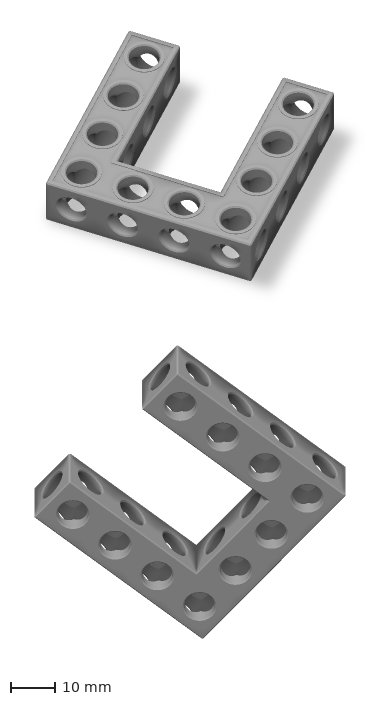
import cadquery as cq

pitch = 12.5
holes_per_side = 4
hole_diameter = 7.0
hole_chamfer = 0.3
ring_diameter = 9.2
edge_chamfer = 0.3
rim_width = 1.2
recess_depth = 0.2

length = pitch * holes_per_side
opening_width = length - 2 * pitch
height = pitch
centers = [pitch * (i + 0.5) for i in range(holes_per_side)]
mid_height = height / 2
last = holes_per_side - 1
along_x = (1, 0, 0)
along_y = (0, 1, 0)
along_z = (0, 0, 1)


def u_prism(inset, bottom, thickness):
    """U-shaped prism open toward +Y, with its outline moved inward by inset."""
    outer_size = length - 2 * inset
    gap_width = opening_width + 2 * inset
    block = cq.Workplane("XY").box(outer_size, outer_size, thickness, centered=False)
    block = block.translate((inset, inset, bottom))
    gap = cq.Workplane("XY").box(gap_width, length, thickness, centered=False)
    return block.cut(gap.translate((pitch - inset, pitch - inset, bottom)))


def rod(start, direction, span, diameter):
    """Cylinder of the given length that starts at a point."""
    return cq.Solid.makeCylinder(diameter / 2, span, cq.Vector(*start), cq.Vector(*direction))


def entry_cone(point, inward):
    """Cone that chamfers a hole where it enters a face."""
    radius = hole_diameter / 2
    return cq.Solid.makeCone(
        radius + hole_chamfer, radius, hole_chamfer, cq.Vector(*point), cq.Vector(*inward)
    )


def passage(start, direction, span):
    """Cutters for a round hole with a chamfer at both ends."""
    end = tuple(s + d * span for s, d in zip(start, direction))
    back = tuple(-d for d in direction)
    return [
        rod(start, direction, span, hole_diameter),
        entry_cone(start, direction),
        entry_cone(end, back),
    ]


body = u_prism(0, 0, height).edges("#Z or <Y or >Y").chamfer(edge_chamfer)

vertical_places = [
    (x, y)
    for i, x in enumerate(centers)
    for j, y in enumerate(centers)
    if j == 0 or i in (0, last)
]
floor = height - recess_depth
recess = u_prism(rim_width, floor, recess_depth)
for x, y in vertical_places:
    ring = rod((x, y, floor), along_z, recess_depth, ring_diameter)
    recess = recess.cut(cq.Workplane(obj=ring))
body = body.cut(recess)

cutters = []
for x, y in vertical_places:
    cutters += passage((x, y, 0), along_z, height)

for i, x in enumerate(centers):
    span = length if i in (0, last) else pitch
    cutters += passage((x, 0, mid_height), along_y, span)

for j, y in enumerate(centers):
    if j == 0:
        cutters += passage((0, y, mid_height), along_x, length)
    else:
        cutters += passage((0, y, mid_height), along_x, pitch)
        cutters += passage((length - pitch, y, mid_height), along_x, pitch)

for cutter in cutters:
    body = body.cut(cq.Workplane(obj=cutter))

result = body